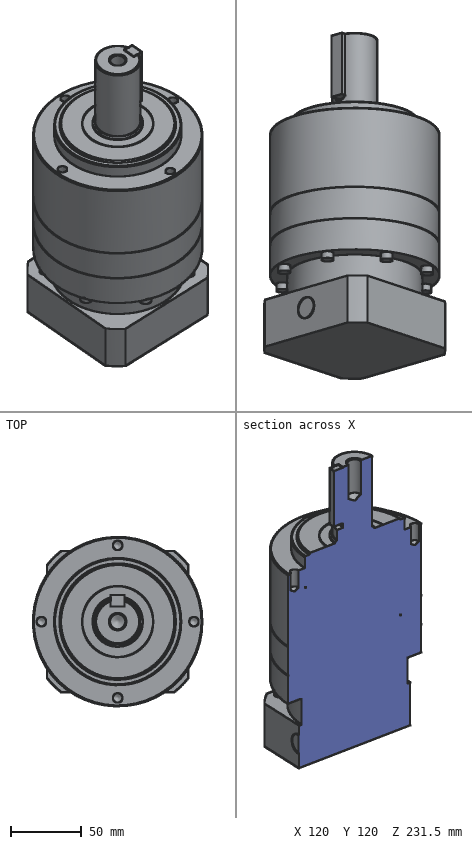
import cadquery as cq
import math

total_height = 231.5
flange_top = 35.0
body_bottom = 55.8
lower_joint = 79.0
upper_joint = 102.3
body_top = 161.4
pilot_top = 170.8
pad_top = 172.0

flange_width = 100.0
flange_corner_diameter = 128.0
plug_diameter = 15.3
plug_projection = 0.7
plug_height = 20.0

neck_diameter = 95.5
body_diameter = 120.0
pilot_diameter = 90.0
pad_diameter = 82.5
edge_chamfer = 0.7
groove_width = 0.2
groove_depth = 0.2

screw_count = 8
screw_circle_diameter = 109.5
screw_head_diameter = 8.5
screw_head_height = 4.9
hole_count = 4
hole_circle_diameter = 107.9
hole_diameter = 6.7
hole_depth = 14.0
drill_point_angle = 118.0

shaft_diameter = 32.0
collar_diameter = 35.7
collar_top_diameter = 32.6
collar_height = 1.9
collar_lip_height = 0.7
seal_diameter = 50.2
shaft_bore_diameter = 10.9
shaft_bore_depth = 27.8
bore_chamfer = 0.7
key_width = 10.0
key_bottom_y = 10.9
key_top_y = 18.8
key_length = 45.5
key_end_gap = 0.5
keyway_length = 49.3


def disc(diameter, bottom, top):
    """Vertical cylinder on the main axis between two heights."""
    return cq.Workplane("XY").workplane(offset=bottom).circle(diameter / 2).extrude(top - bottom)


def ring(outer_diameter, inner_diameter, bottom, top):
    """Vertical tube on the main axis between two heights."""
    return disc(outer_diameter, bottom, top).cut(disc(inner_diameter, bottom, top))


def cone(bottom_diameter, top_diameter, bottom, top):
    """Vertical truncated cone on the main axis between two heights."""
    profile = [(0, bottom), (bottom_diameter / 2, bottom), (top_diameter / 2, top), (0, top)]
    return cq.Workplane("XZ").polyline(profile).close().revolve(360, (0, 0), (0, 1))


def drilled_hole(diameter, depth, top):
    """Cutter for a blind hole with a conical drill point, opening at the given height."""
    radius = diameter / 2
    point = radius / math.tan(math.radians(drill_point_angle / 2))
    profile = [(0, top), (radius, top), (radius, top - depth), (0, top - depth - point)]
    return cq.Workplane("XZ").polyline(profile).close().revolve(360, (0, 0), (0, 1))


def make_flange():
    """Square flange with its corners turned to a circle, and a plug on the +Y face."""
    square = cq.Workplane("XY").rect(flange_width, flange_width).extrude(flange_top)
    flange = square.intersect(disc(flange_corner_diameter, 0, flange_top))
    plug = (
        cq.Workplane("XZ", origin=(0, 0, plug_height))
        .circle(plug_diameter / 2)
        .extrude(-(flange_width / 2 + plug_projection))
    )
    return flange.union(plug)


def make_housing():
    """Neck, main body with two joint grooves, centring pilot and raised pad."""
    body = disc(body_diameter, body_bottom, body_top).faces(">Z").edges().chamfer(edge_chamfer)
    for joint in (lower_joint, upper_joint):
        bottom = joint - groove_width / 2
        top = joint + groove_width / 2
        body = body.cut(ring(body_diameter, body_diameter - 2 * groove_depth, bottom, top))
    pilot = disc(pilot_diameter, body_top, pilot_top).faces(">Z").edges().chamfer(edge_chamfer)
    pad = cone(pad_diameter, pad_diameter - 2 * (pad_top - pilot_top), pilot_top, pad_top)
    seal_groove = ring(
        seal_diameter + groove_width, seal_diameter - groove_width, pad_top - groove_depth, pad_top
    )
    neck = disc(neck_diameter, flange_top, body_bottom)
    return neck.union(body).union(pilot).union(pad).cut(seal_groove)


def make_screw_heads():
    """Ring of cap screw heads hanging below the body."""
    return (
        cq.Workplane("XY")
        .workplane(offset=body_bottom)
        .polarArray(screw_circle_diameter / 2, 180 / screw_count, 360, screw_count)
        .circle(screw_head_diameter / 2)
        .extrude(-screw_head_height)
    )


def make_mounting_holes():
    """Blind tapping holes in the top face of the body."""
    hole = drilled_hole(hole_diameter, hole_depth, body_top)
    return (
        cq.Workplane("XY")
        .polarArray(hole_circle_diameter / 2, 0, 360, hole_count)
        .eachpoint(hole.val(), combine=False)
    )


def make_shaft():
    """Shaft with a conical collar, an end bore, and a key in an open keyway on the +Y side."""
    shaft = disc(shaft_diameter, pad_top, total_height).faces(">Z").edges().chamfer(edge_chamfer)
    lip_top = pad_top + collar_lip_height
    collar = disc(collar_diameter, pad_top, lip_top).union(
        cone(collar_diameter, collar_top_diameter, lip_top, pad_top + collar_height)
    )

    half_width = key_width / 2
    keyway_end = total_height - keyway_length
    keyway = (
        cq.Workplane("XZ", origin=(0, key_bottom_y, 0))
        .moveTo(-half_width, total_height)
        .lineTo(-half_width, keyway_end + half_width)
        .threePointArc((0, keyway_end), (half_width, keyway_end + half_width))
        .lineTo(half_width, total_height)
        .close()
        .extrude(-shaft_diameter)
    )
    key = cq.Workplane("XY").box(
        key_width, key_top_y - key_bottom_y, key_length, centered=(True, False, False)
    ).translate((0, key_bottom_y, total_height - key_end_gap - key_length))

    bore = drilled_hole(shaft_bore_diameter, shaft_bore_depth, total_height)
    bore_mouth = cone(
        shaft_bore_diameter, shaft_bore_diameter + 2 * bore_chamfer, total_height - bore_chamfer, total_height
    )
    return shaft.union(collar).cut(keyway).union(key).cut(bore).cut(bore_mouth)


result = (
    make_flange()
    .union(make_housing())
    .union(make_screw_heads())
    .cut(make_mounting_holes())
    .union(make_shaft())
)